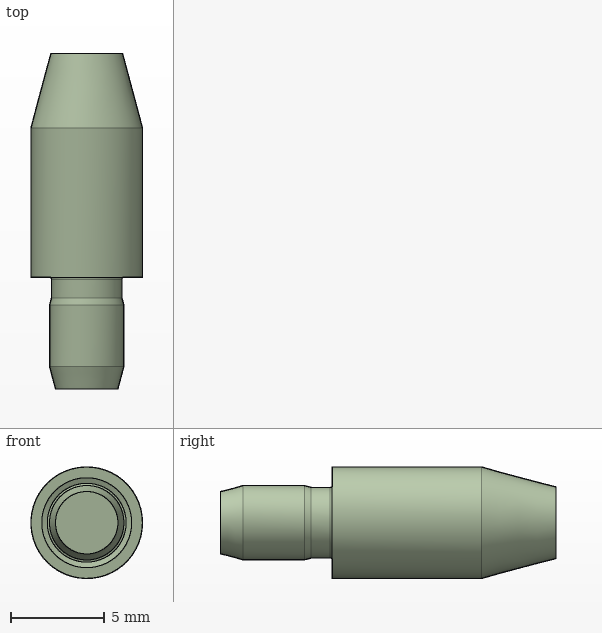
import cadquery as cq
import math

total_length = 18.0
stem_length = 6.0
nose_length = 4.0

body_diameter = 6.0
stem_diameter = 4.0
relief_diameter = 3.8

taper_angle = 15.0
stem_tip_length = 1.2
relief_length = 1.5
recess_diameter = 4.82
recess_depth = 0.1
relief_corner_radius = 0.22

body_radius = body_diameter / 2
stem_radius = stem_diameter / 2
relief_radius = relief_diameter / 2
recess_radius = recess_diameter / 2
body_end = total_length - stem_length
taper_slope = math.tan(math.radians(taper_angle))

nose_tip_radius = body_radius - nose_length * taper_slope
stem_tip_radius = stem_radius - stem_tip_length * taper_slope
relief_taper_length = (stem_radius - relief_radius) / taper_slope

corner_start = recess_depth - relief_corner_radius
corner_center_radius = relief_radius + relief_corner_radius
corner_offset = relief_corner_radius * math.sqrt(0.5)
corner_middle = (corner_center_radius - corner_offset, corner_start + corner_offset)

profile = (
    cq.Workplane("XY")
    .moveTo(0, -stem_length)
    .lineTo(stem_tip_radius, -stem_length)
    .lineTo(stem_radius, -stem_length + stem_tip_length)
    .lineTo(stem_radius, -relief_length)
    .lineTo(relief_radius, -relief_length + relief_taper_length)
    .lineTo(relief_radius, corner_start)
    .threePointArc(corner_middle, (corner_center_radius, recess_depth))
    .lineTo(recess_radius, 0)
    .lineTo(body_radius, 0)
    .lineTo(body_radius, body_end - nose_length)
    .lineTo(nose_tip_radius, body_end)
    .lineTo(0, body_end)
    .close()
)

result = profile.revolve(360, (0, 0, 0), (0, 1, 0))